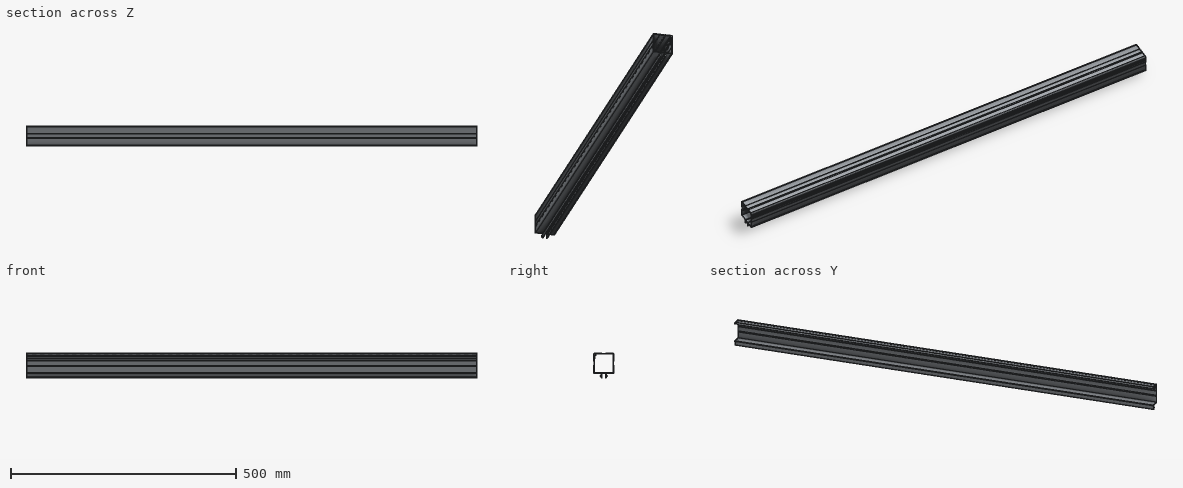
import cadquery as cq

length = 1000.0
box_width = 45.0
box_height = 45.0
total_height = 55.0
wall = 2.0
floor_thickness = 1.5
top_corner_radius = 3.0
bottom_corner_radius = 1.0

groove_width = 10.0
groove_depth = 0.5
groove_backing_width = groove_width + 2 * wall

joint_drop = 6.0
joint_width = 3.0
joint_depth = 1.0
joint_block_width = 5.0
joint_block_height = 5.0
joint_lip_thickness = 3.0
joint_lip_height = 12.0

leg_offset = 4.0
leg_thickness = 1.5
barb_reach = 2.5
barb_shoulder_drop = 2.0
barb_edge_drop = 6.0

box_bottom = total_height / 2 - box_height
box_top = total_height / 2
box_middle = (box_top + box_bottom) / 2
half_width = box_width / 2
start_x = -length / 2


def bar(y_min, y_max, z_min, z_max):
    """Rectangular bar running the whole length."""
    corner = (start_x, y_min, z_min)
    return cq.Workplane("XY").box(length, y_max - y_min, z_max - z_min, centered=False).translate(corner)


def make_box():
    """Rectangular tube with rounded outer corners."""
    outer = bar(-half_width, half_width, box_bottom, box_top)
    outer = outer.edges("|X and >Z").fillet(top_corner_radius)
    outer = outer.edges("|X and <Z").fillet(bottom_corner_radius)
    cavity_half = half_width - wall
    return outer.cut(bar(-cavity_half, cavity_half, box_bottom + floor_thickness, box_top - wall))


def groove_wall(body, angle):
    """Groove the top wall, turned about the box axis, and keep the wall thick behind it."""
    half_groove = groove_width / 2
    half_backing = groove_backing_width / 2
    backing = bar(-half_backing, half_backing, box_top - wall - groove_depth, box_top - wall)
    groove = bar(-half_groove, half_groove, box_top - groove_depth, box_top)
    axis_start = (0, 0, box_middle)
    axis_end = (1, 0, box_middle)
    body = body.union(backing.rotate(axis_start, axis_end, angle))
    return body.cut(groove.rotate(axis_start, axis_end, angle))


def add_lid_joint(body):
    """Thickened corner and lip inside the -Y wall, with the seam groove outside."""
    inner_y = -half_width + wall
    inner_top = box_top - wall
    block = bar(inner_y, -half_width + joint_block_width, box_top - joint_block_height, inner_top)
    lip = bar(inner_y, -half_width + joint_lip_thickness, box_top - joint_lip_height, inner_top)
    seam_top = box_top - joint_drop
    seam = bar(-half_width, -half_width + joint_depth, seam_top - joint_width, seam_top)
    return body.union(block).union(lip).cut(seam)


def make_leg():
    """Barbed leg on the +Y side of the middle."""
    inner_y = leg_offset
    outer_y = leg_offset + leg_thickness
    foot = -total_height / 2
    outline = [
        (inner_y, box_bottom + floor_thickness),
        (inner_y, foot),
        (outer_y, foot),
        (outer_y + barb_reach, box_bottom - barb_edge_drop),
        (outer_y, box_bottom - barb_shoulder_drop),
        (outer_y, box_bottom + floor_thickness),
    ]
    return cq.Workplane("YZ", origin=(start_x, 0, 0)).polyline(outline).close().extrude(length)


result = make_box()
for wall_angle in (-90, 0, 90):
    result = groove_wall(result, wall_angle)
result = add_lid_joint(result)
leg = make_leg()
result = result.union(leg).union(leg.mirror("XZ"))